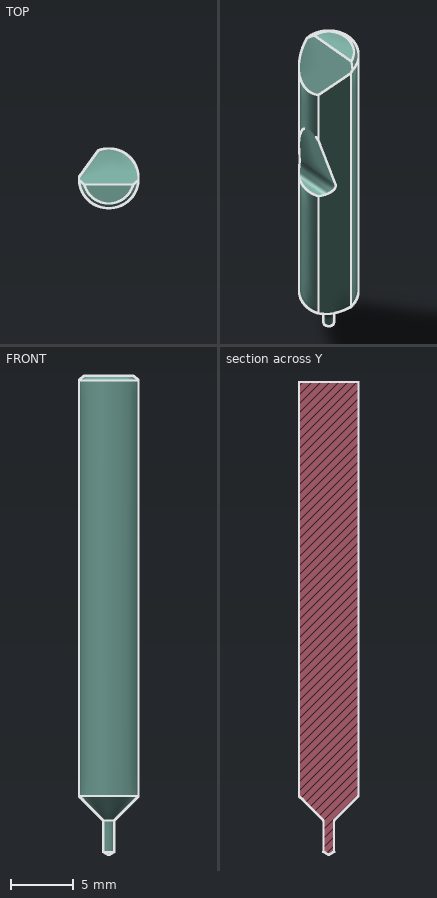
import cadquery as cq
import math

total_length = 38.1
shank_radius = 2.38
pin_radius = 0.44
tip_height = 0.25
pin_top = 2.75
top_chamfer = 0.4

flat_direction = 144.0
flat_distance = 2.0

bevel_top_y = -0.5

notch_bottom = 21.15
notch_top = 29.85
notch_depth = 1.3
notch_radius = 1.0

cutter_width = 4 * shank_radius
clearance = shank_radius


def turned_body():
    """Shank with a chamfered end, a 45 degree cone and a pointed pin."""
    cone_top = pin_top + shank_radius - pin_radius
    return (
        cq.Workplane("XZ")
        .moveTo(0, 0)
        .lineTo(pin_radius, tip_height)
        .lineTo(pin_radius, pin_top)
        .lineTo(shank_radius, cone_top)
        .lineTo(shank_radius, total_length - top_chamfer)
        .lineTo(shank_radius - top_chamfer, total_length)
        .lineTo(0, total_length)
        .close()
        .revolve(360, (0, 0, 0), (0, 1, 0))
    )


def side_flat():
    """Block that leaves a flat along the whole shank."""
    return (
        cq.Workplane("XY")
        .box(clearance, cutter_width, total_length, centered=(False, True, False))
        .translate((flat_distance, 0, 0))
        .rotate((0, 0, 0), (0, 0, 1), flat_direction)
    )


def end_bevel():
    """Wedge sloping down at 45 degrees from the end face toward +Y."""
    outer_y = shank_radius + clearance
    drop = outer_y - bevel_top_y
    return (
        cq.Workplane("YZ")
        .moveTo(bevel_top_y, total_length)
        .lineTo(outer_y, total_length - drop)
        .lineTo(outer_y, total_length)
        .close()
        .extrude(cutter_width / 2, both=True)
    )


def clamping_notch():
    """Crosswise notch on +Y: a flat lower wall, a round root and a sloping wall."""
    center_y = shank_radius - notch_depth + notch_radius
    center_z = notch_bottom + notch_radius

    rise = notch_top - center_z
    reach = shank_radius - center_y
    to_edge = math.atan2(rise, reach)
    tangent_angle = to_edge + math.acos(notch_radius / math.hypot(reach, rise))
    arc_middle_angle = (tangent_angle + 1.5 * math.pi) / 2

    def root_point(angle):
        return (
            center_y + notch_radius * math.cos(angle),
            center_z + notch_radius * math.sin(angle),
        )

    outer_y = shank_radius + clearance
    return (
        cq.Workplane("YZ")
        .moveTo(outer_y, notch_bottom)
        .lineTo(center_y, notch_bottom)
        .threePointArc(root_point(arc_middle_angle), root_point(tangent_angle))
        .lineTo(shank_radius, notch_top)
        .lineTo(outer_y, notch_top)
        .close()
        .extrude(cutter_width / 2, both=True)
    )


result = turned_body().cut(side_flat()).cut(end_bevel()).cut(clamping_notch())